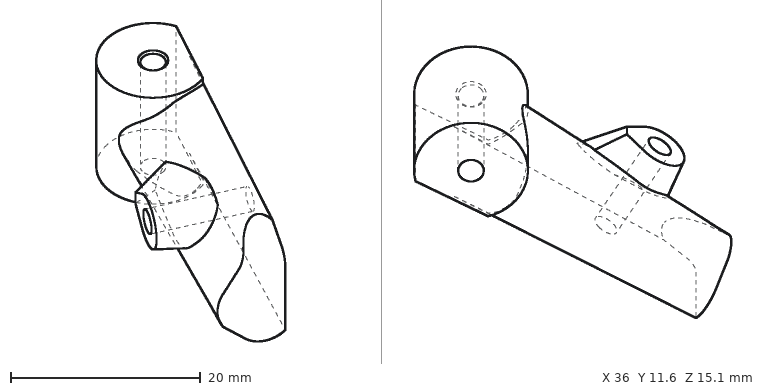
import cadquery as cq
import math

HUB_RADIUS = 6.0
HUB_HEIGHT = 14.9
HUB_FLAT_Y = 4.05
BORE_DIAMETER = 2.7
BORE_MOUTH_DIAMETER = 3.2
BORE_CHAMFER = (BORE_MOUTH_DIAMETER - BORE_DIAMETER) / 2

TOTAL_LENGTH = 36
ARM_END_X = TOTAL_LENGTH - HUB_RADIUS
ARM_BACK_END_Y = 4.6
ARM_SHOULDER_Y = 0.3

SLOPE_START = (25.0, 13.85)
SLOPE_END = (28.7, 12.25)
END_ROUND_MIDDLE = (29.62, 11.5)
END_ROUND_FINISH = (ARM_END_X, 10.08)
CORNER_TILT = 9
CUT_MARGIN = 1.8

BOSS_X = 18.93
BOSS_Z = 9.95
BOSS_TIP_Y = -7.02
BOSS_ROOT_Y = 0
BOSS_TIP_RADIUS = 3.02
BOSS_ROOT_RADIUS = 3.67
BOSS_ROOT_SHIFT_X = 0.3
BOSS_ROOT_SHIFT_Z = -0.58
GUSSET_TIP_REACH = 4.0
GUSSET_ROOT_REACH = 9.32
GUSSET_TIP_HALF_HEIGHT = 0.75
GUSSET_ROOT_TOP = 1.08
GUSSET_ROOT_BOTTOM = 2.65
GUSSET_RIDGE_DROP = 0.75
GUSSET_RIDGE_REACH = 0.18


def make_hub():
    hub = cq.Workplane("XY").circle(HUB_RADIUS).extrude(HUB_HEIGHT)
    behind_flat = (
        cq.Workplane("XY")
        .center(0, HUB_FLAT_Y + HUB_RADIUS)
        .rect(2 * HUB_RADIUS, 2 * HUB_RADIUS)
        .extrude(HUB_HEIGHT)
    )
    return hub.cut(behind_flat)


def arm_section(x, back_top, top, shoulder, brow, nose, chin, keel, bottom, back_bottom):
    """Closed (Y, Z) outline of the arm at x: three arcs joined by flats, with a flat back."""
    return (
        cq.Workplane("YZ", origin=(x, 0, 0))
        .moveTo(*back_top)
        .threePointArc(top, shoulder)
        .lineTo(*brow)
        .threePointArc(nose, chin)
        .lineTo(*keel)
        .threePointArc(bottom, back_bottom)
        .close()
        .val()
    )


def make_arm():
    hub_section = arm_section(
        0,
        back_top=(HUB_FLAT_Y, 14.32),
        top=(2.35, 14.7),
        shoulder=(ARM_SHOULDER_Y, 14.35),
        brow=(-2.9, 12.5),
        nose=(-5.22, 8.28),
        chin=(-3.78, 4.75),
        keel=(ARM_SHOULDER_Y, 1.1),
        bottom=(2.52, 0.25),
        back_bottom=(HUB_FLAT_Y, 0.72),
    )
    end_section = arm_section(
        ARM_END_X,
        back_top=(ARM_BACK_END_Y, 12.52),
        top=(2.88, 13.15),
        shoulder=(ARM_SHOULDER_Y, 12.05),
        brow=(-2.12, 7.95),
        nose=(-2.95, 5.47),
        chin=(-2.35, 3.02),
        keel=(ARM_SHOULDER_Y, 0.55),
        bottom=(2.7, -0.2),
        back_bottom=(ARM_BACK_END_Y, 0.65),
    )
    arm = cq.Workplane(cq.Solid.makeLoft([hub_section, end_section], True))
    return arm.cut(make_end_corner())


def make_end_corner():
    """Waste above the sloped and rounded corner of the arm's outer end."""
    ceiling_z = HUB_HEIGHT + CUT_MARGIN
    outside_x = ARM_END_X + CUT_MARGIN
    slope = (SLOPE_END[1] - SLOPE_START[1]) / (SLOPE_END[0] - SLOPE_START[0])
    inside_x = SLOPE_START[0] - CUT_MARGIN
    inside_z = SLOPE_START[1] - slope * CUT_MARGIN
    pivot_z = SLOPE_END[1]
    return (
        cq.Workplane("XZ")
        .moveTo(inside_x, inside_z)
        .lineTo(*SLOPE_END)
        .threePointArc(END_ROUND_MIDDLE, END_ROUND_FINISH)
        .lineTo(outside_x, END_ROUND_FINISH[1])
        .lineTo(outside_x, ceiling_z)
        .lineTo(inside_x, ceiling_z)
        .close()
        .extrude(HUB_RADIUS, both=True)
        .rotate((0, ARM_SHOULDER_Y, pivot_z), (1, ARM_SHOULDER_Y, pivot_z), -CORNER_TILT)
    )


def tangent_point(corner, center, radius, side):
    """Point where a line from corner touches a circle; side +1 is above, -1 below."""
    across = corner[0] - center[0]
    up = corner[1] - center[1]
    direction = math.atan2(up, across) - side * math.acos(radius / math.hypot(across, up))
    return (
        center[0] + radius * math.cos(direction),
        center[1] + radius * math.sin(direction),
    )


def boss_outline(y, center, radius, corner_x, upper_z, lower_z, ridge):
    """Closed outline at y: a circle drawn out by tangents to the gusset's ridged edge."""
    upper_corner = (corner_x, upper_z)
    lower_corner = (corner_x, lower_z)
    far_side = (center[0] + radius, center[1])
    return (
        cq.Workplane("XZ", origin=(0, y, 0))
        .moveTo(*upper_corner)
        .lineTo(*tangent_point(upper_corner, center, radius, 1))
        .threePointArc(far_side, tangent_point(lower_corner, center, radius, -1))
        .lineTo(*lower_corner)
        .lineTo(*ridge)
        .close()
        .val()
    )


def make_boss():
    tip_x = BOSS_X - GUSSET_TIP_REACH
    root_x = BOSS_X - GUSSET_ROOT_REACH
    tip = boss_outline(
        BOSS_TIP_Y,
        center=(BOSS_X, BOSS_Z),
        radius=BOSS_TIP_RADIUS,
        corner_x=tip_x,
        upper_z=BOSS_Z + GUSSET_TIP_HALF_HEIGHT,
        lower_z=BOSS_Z - GUSSET_TIP_HALF_HEIGHT,
        ridge=(tip_x, BOSS_Z),
    )
    root = boss_outline(
        BOSS_ROOT_Y,
        center=(BOSS_X + BOSS_ROOT_SHIFT_X, BOSS_Z + BOSS_ROOT_SHIFT_Z),
        radius=BOSS_ROOT_RADIUS,
        corner_x=root_x,
        upper_z=BOSS_Z + GUSSET_ROOT_TOP,
        lower_z=BOSS_Z - GUSSET_ROOT_BOTTOM,
        ridge=(root_x - GUSSET_RIDGE_REACH, BOSS_Z - GUSSET_RIDGE_DROP),
    )
    return cq.Workplane(cq.Solid.makeLoft([tip, root], True))


def make_hub_bore():
    bore = cq.Workplane("XY").circle(BORE_DIAMETER / 2).extrude(HUB_HEIGHT)
    mouth = (
        cq.Workplane("XY", origin=(0, 0, HUB_HEIGHT))
        .circle(BORE_MOUTH_DIAMETER / 2)
        .workplane(offset=-BORE_CHAMFER)
        .circle(BORE_DIAMETER / 2)
        .loft()
    )
    return bore.union(mouth)


def make_boss_bore():
    length = ARM_BACK_END_Y - BOSS_TIP_Y
    return (
        cq.Workplane("XZ", origin=(BOSS_X, BOSS_TIP_Y, BOSS_Z))
        .circle(BORE_DIAMETER / 2)
        .extrude(-length)
    )


body = make_hub().union(make_arm()).union(make_boss())
result = body.cut(make_hub_bore()).cut(make_boss_bore())